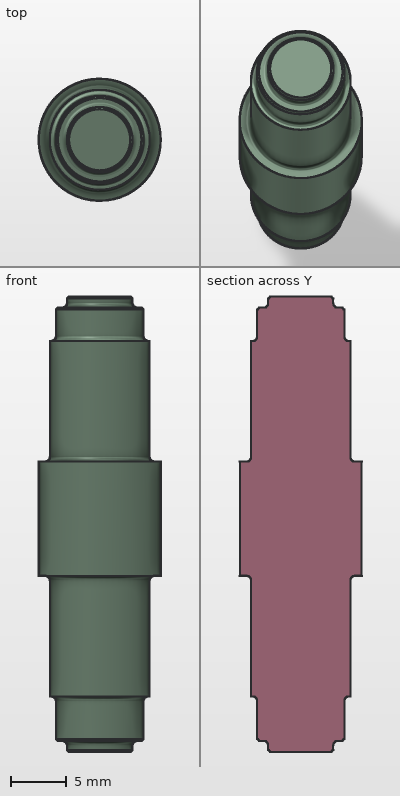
import cadquery as cq

NOSE_DIAMETER = 5.9
JOURNAL_DIAMETER = 7.9
BODY_DIAMETER = 9.0
COLLAR_DIAMETER = 11.0

TOTAL_LENGTH = 41.0
SHAFT_BOTTOM = -TOTAL_LENGTH / 2
NOSE_LENGTH = 1.0
LOWER_JOURNAL_LENGTH = 4.0
UPPER_JOURNAL_LENGTH = 3.0
COLLAR_LENGTH = 10.3
BODY_LENGTH = (
    TOTAL_LENGTH - 2 * NOSE_LENGTH - LOWER_JOURNAL_LENGTH - UPPER_JOURNAL_LENGTH - COLLAR_LENGTH
) / 2

ROOT_FILLET = 0.4
END_CHAMFER = 0.2

STEPS = [
    (NOSE_DIAMETER, NOSE_LENGTH),
    (JOURNAL_DIAMETER, LOWER_JOURNAL_LENGTH),
    (BODY_DIAMETER, BODY_LENGTH),
    (COLLAR_DIAMETER, COLLAR_LENGTH),
    (BODY_DIAMETER, BODY_LENGTH),
    (JOURNAL_DIAMETER, UPPER_JOURNAL_LENGTH),
    (NOSE_DIAMETER, NOSE_LENGTH),
]

CHAMFERED_DIAMETERS = (NOSE_DIAMETER, JOURNAL_DIAMETER)


def cylinder(diameter, bottom, length):
    """Solid cylinder on the Z axis."""
    return cq.Workplane("XY").workplane(offset=bottom).circle(diameter / 2).extrude(length)


def shaft_step(diameter, bottom, length):
    """One step of the shaft, with its edge nearer the shaft end chamfered on the slim steps."""
    step = cylinder(diameter, bottom, length)
    if diameter in CHAMFERED_DIAMETERS:
        end_face = "<Z" if bottom + length / 2 < 0 else ">Z"
        step = step.faces(end_face).edges().chamfer(END_CHAMFER)
    return step


def root_fillet(diameter, shoulder, direction):
    """Disc with a concave fillet rim around a step, leaving its shoulder upward (+1) or downward (-1)."""
    radius = diameter / 2
    tip = shoulder + direction * ROOT_FILLET
    outer_radius = radius + ROOT_FILLET
    profile = (
        cq.Workplane("XZ")
        .moveTo(0, shoulder)
        .lineTo(outer_radius, shoulder)
        .radiusArc((radius, tip), direction * ROOT_FILLET)
        .lineTo(0, tip)
        .close()
    )
    return profile.revolve(360, (0, 0, 0), (0, 1, 0))


def stacked_steps():
    """All the steps stacked upward and joined into one solid."""
    steps = cq.Workplane("XY")
    bottom = SHAFT_BOTTOM
    for diameter, length in STEPS:
        steps = steps.add(shaft_step(diameter, bottom, length))
        bottom += length
    return steps.combine()


def add_root_fillets(shaft):
    """Put a filleted disc on the slimmer side of every shoulder."""
    shoulder = SHAFT_BOTTOM
    for (lower_diameter, lower_length), (upper_diameter, _) in zip(STEPS, STEPS[1:]):
        shoulder += lower_length
        if lower_diameter < upper_diameter:
            disc = root_fillet(lower_diameter, shoulder, -1)
        else:
            disc = root_fillet(upper_diameter, shoulder, 1)
        shaft = shaft.union(disc)
    return shaft


result = add_root_fillets(stacked_steps())